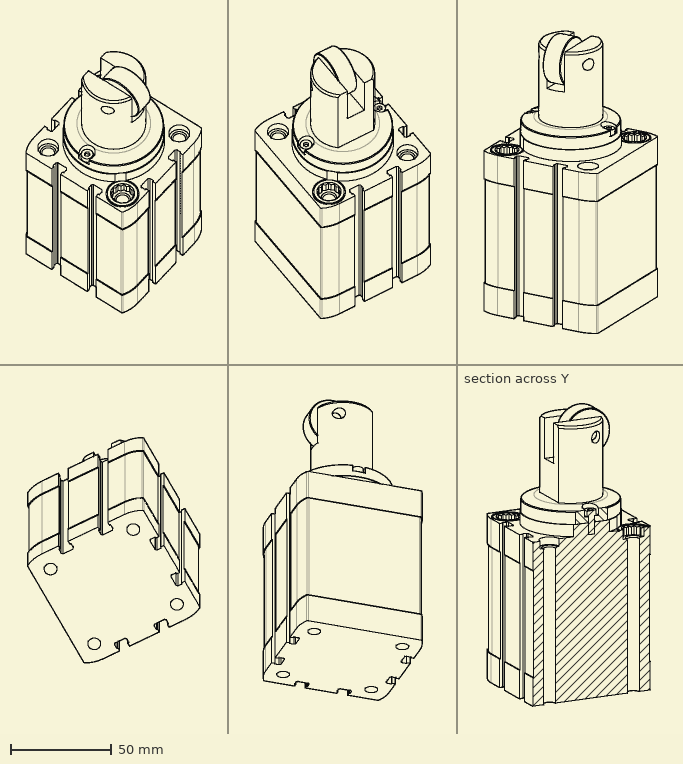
import cadquery as cq
import math


HOUSING_WIDTH = 65.5
HOUSING_HEIGHT = 85.4
END_HEIGHT = 15.0
MIDDLE_INSET = 0.5
FLAT_HALF_LENGTH = 30.3
CORNER_EDGE_RADIUS = 0.9
BOLT_OFFSET = 23.3

SLOT_OFFSET = 11.2
SLOT_MOUTH_WIDTH = 5.5
SLOT_LIP_DEPTH = 1.9
SLOT_WIDTH = 6.8
SLOT_DEPTH = 5.0
SLOT_FLOOR_CHAMFER = 0.7

BOSS_DIAMETER = 50.9
BOSS_HEIGHT = 6.2

THROUGH_DIAMETER = 6.4
COUNTERSINK_DIAMETER = 7.8
COUNTERBORE_DIAMETER = 10.5
COUNTERBORE_DEPTH = 3.9
BOLT_HEAD_DIAMETER = 16.4
BOLT_HEAD_CHAMFER = 0.6
SOCKET_FLATS = 10.0
SOCKET_RIM_DIAMETER = 12.0
SOCKET_DEPTH = 5.0

COLLAR_DIAMETER = 50.0
COLLAR_HEIGHT = 8.3
COLLAR_FACE_DIAMETER = 36.8
CONE_HEIGHT = 1.6
COLLAR_EDGE_CHAMFER = 0.5

SCREW_OFFSET = 21.9
SCREW_RECESS_DIAMETER = 8.0
SCREW_NOTCH_WIDTH = 6.7
SCREW_RECESS_HEIGHT = 3.2
SCREW_HEAD_DIAMETER = 6.0
SCREW_HEAD_HEIGHT = 2.9
SCREW_SHANK_DIAMETER = 4.0
SCREW_SOCKET_FLATS = 2.5
SCREW_SOCKET_DEPTH = 1.5

ROD_DIAMETER = 32.0
ROD_FLAT_OFFSET = 12.0
ROD_TOP = 139.9
ROD_CHAMFER_HEIGHT = 1.3
ROD_CHAMFER_WIDTH = 0.9
FORK_WIDTH = 10.0
FORK_FLOOR = 118.9

ROLLER_DIAMETER = 25.0
ROLLER_TOP = 145
ROLLER_X = 7.0
ROLLER_CHAMFER = 0.5
AXLE_DIAMETER = 6.0
AXLE_LENGTH = 18.8
AXLE_CHAMFER = 0.3

HALF_WIDTH = HOUSING_WIDTH / 2
BOSS_TOP = HOUSING_HEIGHT + BOSS_HEIGHT
COLLAR_TOP = BOSS_TOP + COLLAR_HEIGHT
SCREW_SEAT = BOSS_TOP + SCREW_RECESS_HEIGHT
ROLLER_Z = ROLLER_TOP - ROLLER_DIAMETER / 2
HEX_CORNER_RATIO = 2 / math.sqrt(3)
HEX_HALF_STEP = 30
SCREW_CENTRES = [(0, -SCREW_OFFSET), (0, SCREW_OFFSET)]
BOLT_CENTRES = [(-BOLT_OFFSET, BOLT_OFFSET), (BOLT_OFFSET, -BOLT_OFFSET)]
PLAIN_CENTRES = [(-BOLT_OFFSET, -BOLT_OFFSET), (BOLT_OFFSET, BOLT_OFFSET)]


def disc(diameter, bottom, height, centre=(0, 0)):
    return cq.Workplane("XY", origin=(*centre, bottom)).circle(diameter / 2).extrude(height)


def revolved(profile):
    """Solid of revolution about Z from (radius, height) points."""
    return cq.Workplane("XZ").polyline(profile).close().revolve(360, (0, 0, 0), (0, 1, 0))


def cone(bottom_diameter, top_diameter, bottom, height, centre=(0, 0)):
    profile = [
        (0, 0),
        (bottom_diameter / 2, 0),
        (top_diameter / 2, height),
        (0, height),
    ]
    return revolved(profile).translate((*centre, bottom))


def housing_band(inset, bottom, height):
    """Square band whose +X and -X sides curve in, tangentially, towards the corners."""
    side = HALF_WIDTH - inset
    flat = FLAT_HALF_LENGTH - inset
    rise = side - BOLT_OFFSET
    drop = side - flat
    radius = (rise**2 + drop**2) / (2 * drop)
    mid_angle = math.asin(rise / radius) / 2
    mid_x = side - radius * (1 - math.cos(mid_angle))
    mid_y = BOLT_OFFSET + radius * math.sin(mid_angle)
    outline = (
        cq.Workplane("XY", origin=(0, 0, bottom))
        .moveTo(side, -BOLT_OFFSET)
        .lineTo(side, BOLT_OFFSET)
        .threePointArc((mid_x, mid_y), (flat, side))
        .lineTo(-flat, side)
        .threePointArc((-mid_x, mid_y), (-side, BOLT_OFFSET))
        .lineTo(-side, -BOLT_OFFSET)
        .threePointArc((-mid_x, -mid_y), (-flat, -side))
        .lineTo(flat, -side)
        .threePointArc((mid_x, -mid_y), (side, -BOLT_OFFSET))
        .close()
    )
    return outline.extrude(height).edges("|Z").edges("<Y or >Y").fillet(CORNER_EDGE_RADIUS)


def t_slots():
    """Two T-slots along the full height on the -Y, +X and -X sides."""
    slots = cq.Workplane("XY")
    for turn in (-90, 0, 90):
        for offset in (-SLOT_OFFSET, SLOT_OFFSET):
            mouth = cq.Workplane("XY").box(
                SLOT_MOUTH_WIDTH, SLOT_DEPTH, HOUSING_HEIGHT, centered=(True, False, False)
            )
            pocket = cq.Workplane("XY").box(
                SLOT_WIDTH, SLOT_DEPTH - SLOT_LIP_DEPTH, HOUSING_HEIGHT, centered=(True, False, False)
            )
            pocket = pocket.edges("|Z and >Y").chamfer(SLOT_FLOOR_CHAMFER).translate((0, SLOT_LIP_DEPTH, 0))
            slot = mouth.union(pocket).translate((offset, -HALF_WIDTH, 0))
            slots = slots.add(slot.rotate((0, 0, 0), (0, 0, 1), turn))
    return slots.combine()


def cut_through_hole(body, centre, seat):
    """Hole through the housing, countersunk where it starts at the given height."""
    sink = (COUNTERSINK_DIAMETER - THROUGH_DIAMETER) / 2
    body = body.cut(disc(THROUGH_DIAMETER, 0, HOUSING_HEIGHT, centre))
    return body.cut(cone(THROUGH_DIAMETER, COUNTERSINK_DIAMETER, seat - sink, sink, centre))


def cut_plain_corner(body, centre):
    seat = HOUSING_HEIGHT - COUNTERBORE_DEPTH
    body = body.cut(disc(COUNTERBORE_DIAMETER, seat, COUNTERBORE_DEPTH, centre))
    return cut_through_hole(body, centre, seat)


def cut_bolt_corner(body, centre):
    """Flush bolt head with a chamfered rim and a twelve-point socket, clear of the boss."""
    seat = HOUSING_HEIGHT - SOCKET_DEPTH
    groove_bottom = HOUSING_HEIGHT - BOLT_HEAD_CHAMFER
    head_face = BOLT_HEAD_DIAMETER - 2 * BOLT_HEAD_CHAMFER
    head_rim = cone(BOLT_HEAD_DIAMETER, head_face, groove_bottom, BOLT_HEAD_CHAMFER, centre)
    groove = disc(BOLT_HEAD_DIAMETER, groove_bottom, BOLT_HEAD_CHAMFER, centre).cut(head_rim)
    clearance = disc(BOLT_HEAD_DIAMETER, HOUSING_HEIGHT, BOSS_HEIGHT, centre)
    hexagon = (
        cq.Workplane("XY", origin=(0, 0, seat))
        .polygon(6, SOCKET_FLATS * HEX_CORNER_RATIO)
        .extrude(SOCKET_DEPTH)
    )
    socket = hexagon.union(hexagon.rotate((0, 0, 0), (0, 0, 1), HEX_HALF_STEP)).translate((*centre, 0))
    rim_depth = (SOCKET_RIM_DIAMETER - SOCKET_FLATS) / 2
    rim = cone(SOCKET_FLATS, SOCKET_RIM_DIAMETER, HOUSING_HEIGHT - rim_depth, rim_depth, centre)
    body = body.cut(clearance).cut(groove).cut(socket).cut(rim)
    return cut_through_hole(body, centre, seat)


def make_housing():
    middle_height = HOUSING_HEIGHT - 2 * END_HEIGHT
    body = housing_band(0, 0, END_HEIGHT)
    body = body.union(housing_band(MIDDLE_INSET, END_HEIGHT, middle_height))
    body = body.union(housing_band(0, END_HEIGHT + middle_height, END_HEIGHT))
    body = body.cut(t_slots())
    body = body.union(disc(BOSS_DIAMETER, HOUSING_HEIGHT, BOSS_HEIGHT))
    for centre in PLAIN_CENTRES:
        body = cut_plain_corner(body, centre)
    for centre in BOLT_CENTRES:
        body = cut_bolt_corner(body, centre)
    for centre in SCREW_CENTRES:
        body = body.cut(disc(SCREW_SHANK_DIAMETER, HOUSING_HEIGHT, BOSS_HEIGHT, centre))
    return body


def rod_blank(bottom, top):
    """Round bar with a flat on its -X side."""
    bar = disc(ROD_DIAMETER, bottom, top - bottom)
    waste = cq.Workplane("XY", origin=(-ROD_FLAT_OFFSET - ROD_DIAMETER / 2, 0, bottom)).rect(
        ROD_DIAMETER, ROD_DIAMETER
    )
    return bar.cut(waste.extrude(top - bottom))


def make_collar():
    radius = COLLAR_DIAMETER / 2
    cone_bottom = COLLAR_TOP - CONE_HEIGHT
    profile = [
        (0, BOSS_TOP),
        (radius, BOSS_TOP),
        (radius, cone_bottom - COLLAR_EDGE_CHAMFER),
        (radius - COLLAR_EDGE_CHAMFER, cone_bottom),
        (COLLAR_FACE_DIAMETER / 2, COLLAR_TOP),
        (0, COLLAR_TOP),
    ]
    body = revolved(profile)
    body = body.cut(rod_blank(BOSS_TOP, COLLAR_TOP))
    for centre in SCREW_CENTRES:
        body = body.cut(disc(SCREW_RECESS_DIAMETER, SCREW_SEAT, COLLAR_HEIGHT, centre))
        notch_y = math.copysign(SCREW_OFFSET + radius / 2, centre[1])
        notch = cq.Workplane("XY", origin=(0, notch_y, SCREW_SEAT)).rect(SCREW_NOTCH_WIDTH, radius)
        body = body.cut(notch.extrude(COLLAR_HEIGHT))
        body = body.cut(disc(SCREW_SHANK_DIAMETER, BOSS_TOP, COLLAR_HEIGHT, centre))
    return body


def make_screw(centre):
    head_top = SCREW_SEAT + SCREW_HEAD_HEIGHT
    head = disc(SCREW_HEAD_DIAMETER, SCREW_SEAT, SCREW_HEAD_HEIGHT, centre)
    shank = disc(SCREW_SHANK_DIAMETER, HOUSING_HEIGHT, SCREW_SEAT - HOUSING_HEIGHT, centre)
    socket = (
        cq.Workplane("XY", origin=(*centre, head_top - SCREW_SOCKET_DEPTH))
        .transformed(rotate=(0, 0, HEX_HALF_STEP))
        .polygon(6, SCREW_SOCKET_FLATS * HEX_CORNER_RATIO)
        .extrude(SCREW_SOCKET_DEPTH)
    )
    return head.union(shank).cut(socket)


def cross_cylinder(diameter, length):
    """Cylinder along Y on the roller's axis, centred on the fork."""
    return (
        cq.Workplane("XZ", origin=(ROLLER_X, length / 2, ROLLER_Z))
        .circle(diameter / 2)
        .extrude(length)
    )


def make_rod():
    chamfer_bottom = ROD_TOP - ROD_CHAMFER_HEIGHT
    body = rod_blank(BOSS_TOP, ROD_TOP)
    tip = cone(ROD_DIAMETER, ROD_DIAMETER - 2 * ROD_CHAMFER_WIDTH, chamfer_bottom, ROD_CHAMFER_HEIGHT)
    body = body.cut(disc(ROD_DIAMETER, chamfer_bottom, ROD_CHAMFER_HEIGHT).cut(tip))
    fork_gap = cq.Workplane("XY", origin=(0, 0, FORK_FLOOR)).rect(ROD_DIAMETER, FORK_WIDTH)
    body = body.cut(fork_gap.extrude(ROD_TOP - FORK_FLOOR))
    return body.cut(cross_cylinder(AXLE_DIAMETER, ROD_DIAMETER))


def make_roller():
    """Roller with a stub axle on each side, which ends inside the fork's hole."""
    wheel = cross_cylinder(ROLLER_DIAMETER, FORK_WIDTH).faces("<Y or >Y").chamfer(ROLLER_CHAMFER)
    axle = cross_cylinder(AXLE_DIAMETER, AXLE_LENGTH).faces("<Y or >Y").chamfer(AXLE_CHAMFER)
    return wheel.union(axle)


housing = make_housing()
collar = make_collar()
rod = make_rod()
roller = make_roller()
screws = [make_screw(centre) for centre in SCREW_CENTRES]

result = cq.Compound.makeCompound(
    [housing.val(), collar.val(), rod.val(), roller.val(), *[screw.val() for screw in screws]]
)